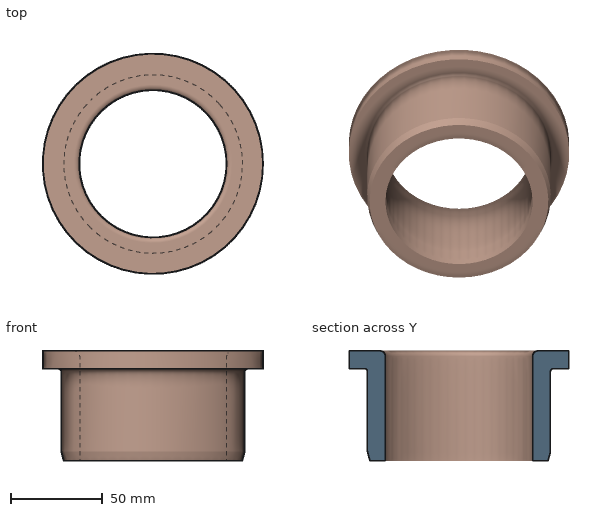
import cadquery as cq
import math

flange_diameter = 120.0
body_diameter = 100.0
bore_diameter = 80.0
total_height = 60.0
flange_thickness = 10.0

mouth_radius = 3.0
neck_radius = 1.5
lead_in_height = 5.0
lead_in_angle = 15.0

flange_radius = flange_diameter / 2
body_radius = body_diameter / 2
bore_radius = bore_diameter / 2
flange_bottom = total_height - flange_thickness
lead_in_depth = lead_in_height * math.tan(math.radians(lead_in_angle))

section = (
    cq.Workplane("XZ")
    .moveTo(bore_radius, 0)
    .lineTo(body_radius - lead_in_depth, 0)
    .lineTo(body_radius, lead_in_height)
    .lineTo(body_radius, flange_bottom - neck_radius)
    .radiusArc((body_radius + neck_radius, flange_bottom), neck_radius)
    .lineTo(flange_radius, flange_bottom)
    .lineTo(flange_radius, total_height)
    .lineTo(bore_radius + mouth_radius, total_height)
    .radiusArc((bore_radius, total_height - mouth_radius), -mouth_radius)
    .close()
)

result = section.revolve(360, (0, 0, 0), (0, 1, 0))